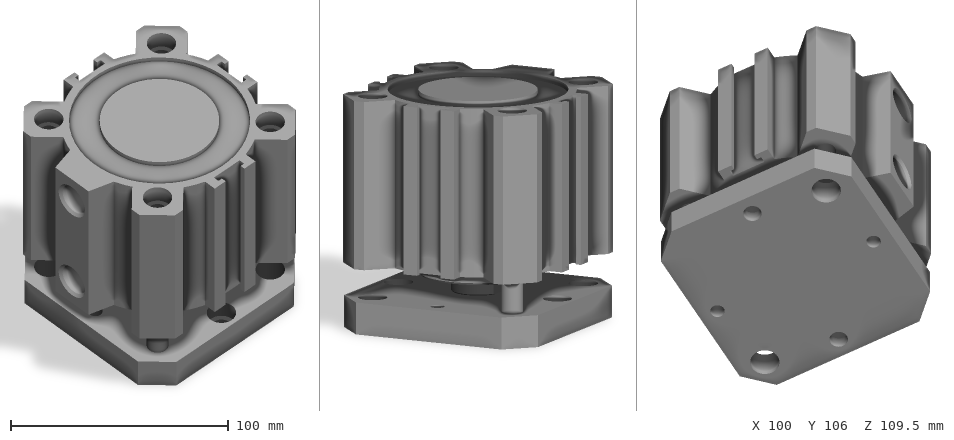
import cadquery as cq
import math

SIZE = 100.0
PIN_PITCH = 72.0
PLATE_THICKNESS = 15.0
GAP = 15.5
HOUSING_LENGTH = 79.0
HALF = SIZE / 2
PIN_OFFSET = PIN_PITCH / 2
HOUSING_BOTTOM = PLATE_THICKNESS + GAP
HOUSING_TOP = HOUSING_BOTTOM + HOUSING_LENGTH

BARREL_DIAMETER = 91.0
LUG_WIDTH = 23.5
LUG_CORNER_CUT = 11.6
RAIL_WIDTH = 26.0
SLOT_MOUTH_WIDTH = 12.0
SLOT_MOUTH_DEPTH = 2.5
SLOT_INNER_WIDTH = 16.4
SLOT_DEPTH = 5.5
PORT_FACE_Y = -56.0
PORT_FACE_WIDTH = 22.0
PORT_BLOCK_DRAFT = 15.0
PORT_DIAMETER = 14.95
PORT_MOUTH_DIAMETER = 17.5
PORT_DEPTH = 12.0
PORT_END_DISTANCE = 13.75
CAP_RECESS_DIAMETER = 83.2
CAP_RECESS_DEPTH = 2.5
CAP_BOSS_DIAMETER = 55.0
COLLAR_DIAMETER = 55.0
COLLAR_HEIGHT = 7.5
COLLAR_CHAMFER = 1.0
BOLT_DIAMETER = 9.0
BOLT_HEAD_DIAMETER = 13.5
BOLT_HEAD_DEPTH = 8.5

PLATE_CORNER_CUT = 12.5
PIN_DIAMETER = 10.0
ROD_DIAMETER = 25.0
ROD_CHAMFER = 0.5
ROD_FLATS_WIDTH = 22.0
ROD_FLATS_HEIGHT = 5.5
MOUNT_OFFSET = 41.0
MOUNT_DIAMETER = 8.5
MOUNT_HEAD_DIAMETER = 13.5
MOUNT_HEAD_DEPTH = 8.5
TAPPED_DIAMETER = 6.65

OPEN_CORNERS = [(-PIN_OFFSET, -PIN_OFFSET), (PIN_OFFSET, PIN_OFFSET)]
PIN_CORNERS = [(-PIN_OFFSET, PIN_OFFSET), (PIN_OFFSET, -PIN_OFFSET)]
Z_AXIS = ((0, 0, 0), (0, 0, 1))


def cut_corner_square(side, corner_cut, bottom, height):
    """Square block with its four vertical edges cut at 45 degrees."""
    block = cq.Workplane("XY").workplane(offset=bottom).rect(side, side).extrude(height)
    return block.edges("|Z").chamfer(corner_cut)


def disc(diameter, bottom, height, centers=((0, 0),)):
    """Upright cylinders of one diameter at the given centres."""
    plane = cq.Workplane("XY").workplane(offset=bottom)
    return plane.pushPoints(list(centers)).circle(diameter / 2).extrude(height)


def housing_bar(center_x, center_y, size_x, size_y):
    """Rectangular bar running the full housing length."""
    plane = cq.Workplane("XY").workplane(offset=HOUSING_BOTTOM)
    return plane.center(center_x, center_y).rect(size_x, size_y).extrude(HOUSING_LENGTH)


def corner_lugs():
    """Crossed diagonal bars trimmed to the square envelope."""
    span = 2 * SIZE
    bar = housing_bar(0, 0, span, LUG_WIDTH)
    cross = bar.rotate(*Z_AXIS, 45).union(bar.rotate(*Z_AXIS, -45))
    return cross.intersect(cut_corner_square(SIZE, LUG_CORNER_CUT, HOUSING_BOTTOM, HOUSING_LENGTH))


def slot_rail():
    """Flat block on the +X side, before its slot is cut."""
    return housing_bar(HALF / 2, 0, HALF, RAIL_WIDTH)


def sensor_slot():
    """T-shaped groove opening toward +X."""
    mouth = housing_bar(HALF - SLOT_DEPTH / 2, 0, SLOT_DEPTH, SLOT_MOUTH_WIDTH)
    inner_depth = SLOT_DEPTH - SLOT_MOUTH_DEPTH
    inner = housing_bar(HALF - SLOT_DEPTH + inner_depth / 2, 0, inner_depth, SLOT_INNER_WIDTH)
    return mouth.union(inner)


def port_block():
    """Tapered block on the -Y side, widening toward the barrel axis."""
    root_y = -BARREL_DIAMETER / 4
    spread = (root_y - PORT_FACE_Y) * math.tan(math.radians(PORT_BLOCK_DRAFT))
    tip = PORT_FACE_WIDTH / 2
    root = tip + spread
    outline = [(-tip, PORT_FACE_Y), (tip, PORT_FACE_Y), (root, root_y), (-root, root_y)]
    plane = cq.Workplane("XY").workplane(offset=HOUSING_BOTTOM)
    return plane.polyline(outline).close().extrude(HOUSING_LENGTH)


def port(center_z):
    """Blind port with a 45 degree countersunk mouth."""
    radius = PORT_DIAMETER / 2
    mouth_radius = PORT_MOUTH_DIAMETER / 2
    mouth_depth = mouth_radius - radius
    profile = [(0, 0), (mouth_radius, 0), (radius, mouth_depth), (radius, PORT_DEPTH), (0, PORT_DEPTH)]
    cutter = cq.Workplane("XY").polyline(profile).close().revolve(360, (0, 0, 0), (0, 1, 0))
    return cutter.translate((0, PORT_FACE_Y, center_z))


def make_housing():
    body = disc(BARREL_DIAMETER, HOUSING_BOTTOM, HOUSING_LENGTH)
    body = body.union(corner_lugs()).union(port_block())
    for angle in (0, 90, 180):
        body = body.union(slot_rail().rotate(*Z_AXIS, angle))
        body = body.cut(sensor_slot().rotate(*Z_AXIS, angle))

    for center_z in (HOUSING_BOTTOM + PORT_END_DISTANCE, HOUSING_TOP - PORT_END_DISTANCE):
        body = body.cut(port(center_z))

    recess_floor = HOUSING_TOP - CAP_RECESS_DEPTH
    recess = disc(CAP_RECESS_DIAMETER, recess_floor, CAP_RECESS_DEPTH)
    cap_boss = disc(CAP_BOSS_DIAMETER, recess_floor, CAP_RECESS_DEPTH)
    body = body.cut(recess.cut(cap_boss))

    corners = OPEN_CORNERS + PIN_CORNERS
    body = body.cut(disc(BOLT_DIAMETER, HOUSING_BOTTOM, HOUSING_LENGTH, corners))
    body = body.cut(disc(BOLT_HEAD_DIAMETER, HOUSING_TOP - BOLT_HEAD_DEPTH, BOLT_HEAD_DEPTH, corners))

    collar = disc(COLLAR_DIAMETER, HOUSING_BOTTOM - COLLAR_HEIGHT, COLLAR_HEIGHT)
    return body.union(collar.faces("<Z").chamfer(COLLAR_CHAMFER))


def make_rod():
    """Rod stub from the plate to the collar, with wrench flats facing +X and -X."""
    length = GAP - COLLAR_HEIGHT
    rod = disc(ROD_DIAMETER, PLATE_THICKNESS, length).faces("<Z").chamfer(ROD_CHAMFER)
    plane = cq.Workplane("XY").workplane(offset=PLATE_THICKNESS)
    flats_zone = plane.rect(2 * ROD_DIAMETER, ROD_DIAMETER).extrude(ROD_FLATS_HEIGHT)
    kept_core = plane.rect(ROD_FLATS_WIDTH, ROD_DIAMETER).extrude(ROD_FLATS_HEIGHT)
    return rod.cut(flats_zone.cut(kept_core))


def make_plate_with_rods():
    plate = cut_corner_square(SIZE, PLATE_CORNER_CUT, 0, PLATE_THICKNESS)
    plate = plate.cut(disc(BOLT_HEAD_DIAMETER, 0, PLATE_THICKNESS, OPEN_CORNERS))

    mounts = [(-MOUNT_OFFSET, 0), (MOUNT_OFFSET, 0)]
    plate = plate.cut(disc(MOUNT_DIAMETER, 0, PLATE_THICKNESS, mounts))
    head_floor = PLATE_THICKNESS - MOUNT_HEAD_DEPTH
    plate = plate.cut(disc(MOUNT_HEAD_DIAMETER, head_floor, MOUNT_HEAD_DEPTH, mounts))

    tapped = [(0, -MOUNT_OFFSET), (0, MOUNT_OFFSET)]
    plate = plate.cut(disc(TAPPED_DIAMETER, 0, PLATE_THICKNESS, tapped))

    pins = disc(PIN_DIAMETER, PLATE_THICKNESS, GAP, PIN_CORNERS)
    return plate.union(make_rod()).union(pins)


housing = make_housing()
plate_with_rods = make_plate_with_rods()
result = cq.Compound.makeCompound([housing.val(), plate_with_rods.val()])